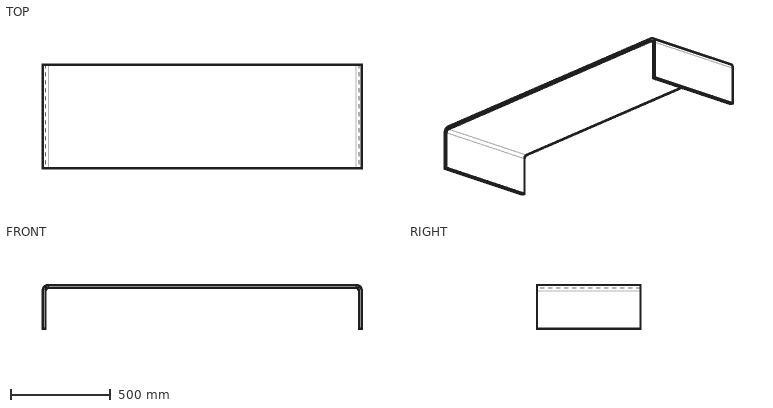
import cadquery as cq

LENGTH = 1600.0
WIDTH = 520.0
HEIGHT = 220.0
THICKNESS = 15.0
INNER_RADIUS = 15.0
OUTER_RADIUS = INNER_RADIUS + THICKNESS


def rounded_block(length, height, radius):
    """Full-width block standing on Z = 0 with its two upper Y-direction edges rounded."""
    block = cq.Workplane("XY").box(length, WIDTH, height, centered=(True, True, False))
    return block.edges("|Y and >Z").fillet(radius)


outer = rounded_block(LENGTH, HEIGHT, OUTER_RADIUS)
inner = rounded_block(LENGTH - 2 * THICKNESS, HEIGHT - THICKNESS, INNER_RADIUS)
result = outer.cut(inner)